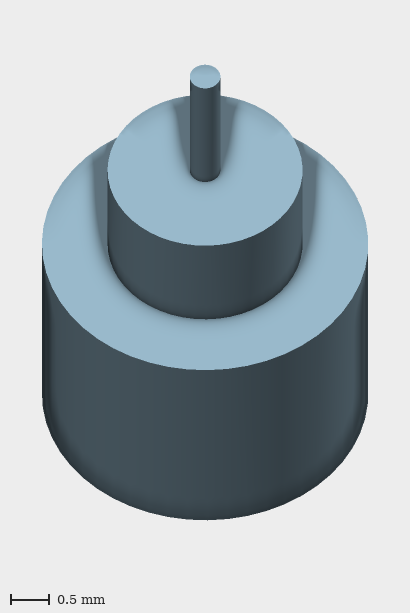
import cadquery as cq

total_height = 6.45
base_diameter = 4.2
base_height = 3.05
collar_diameter = 2.51
collar_height = 1.495
insert_diameter = 1.95
pin_diameter = 0.395

collar_top = base_height + collar_height
pin_length = total_height - collar_top


def cylinder(diameter, bottom, height):
    """Upright cylinder on the Z axis, starting at the given level."""
    return cq.Workplane("XY").workplane(offset=bottom).circle(diameter / 2).extrude(height)


base = cylinder(base_diameter, 0, base_height)
insert = cylinder(insert_diameter, base_height, collar_height)
collar = cylinder(collar_diameter, base_height, collar_height).cut(insert)
pin = cylinder(pin_diameter, collar_top, pin_length)

result = base.union(collar, clean=False)
result = result.union(insert, clean=False)
result = result.union(pin, clean=False)